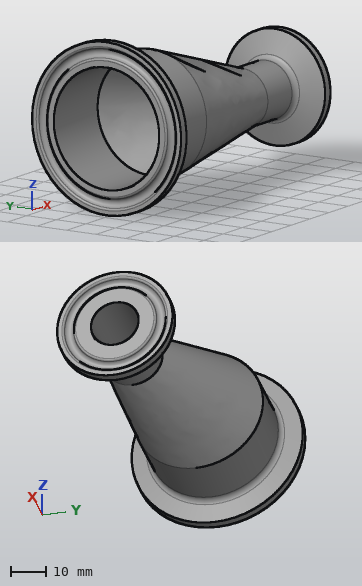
import cadquery as cq
import math

LENGTH = 75.0
LARGE_FLANGE_DIA = 50.5
LARGE_TUBE_DIA = 38.1
LARGE_BORE_DIA = 35.7
SMALL_FLANGE_DIA = 34.05
SMALL_TUBE_DIA = 17.3
SMALL_BORE_DIA = 14.0

CONE_START = 22.95
CONE_END = 55.05

RIM_WIDTH = 2.85
BACK_ANGLE = math.radians(20)
NECK_FILLET = 2.0

GROOVE_INSET = 3.45
GROOVE_HALF_WIDTH = 1.35
GROOVE_DEPTH = 1.6
LIP_WIDTH = 0.7
LIP_DROP = 0.45
LIP_RADIUS = (LIP_WIDTH**2 + LIP_DROP**2) / (2 * LIP_DROP)

SMALL_AXIS_Y = -(LARGE_TUBE_DIA - SMALL_TUBE_DIA) / 2


def revolve_about_x(profile):
    return profile.close().revolve(360, (0, 0, 0), (1, 0, 0))


def gasket_groove(centre_radius):
    """Rounded ring groove in the face at X = 0, with eased lips."""
    half_mouth = GROOVE_HALF_WIDTH + LIP_WIDTH
    inner_edge = centre_radius - GROOVE_HALF_WIDTH
    outer_edge = centre_radius + GROOVE_HALF_WIDTH
    profile = (
        cq.Workplane("XY")
        .moveTo(0, centre_radius - half_mouth)
        .radiusArc((LIP_DROP, inner_edge), LIP_RADIUS)
        .threePointArc((GROOVE_DEPTH, centre_radius), (LIP_DROP, outer_edge))
        .radiusArc((0, centre_radius + half_mouth), LIP_RADIUS)
    )
    return revolve_about_x(profile)


def ferrule(flange_dia, tube_dia, length):
    """Solid flange and tube from X = 0 to X = length, grooved on the X = 0 face."""
    flange_radius = flange_dia / 2
    tube_radius = tube_dia / 2
    fillet_top = tube_radius + NECK_FILLET * (1 - math.sin(BACK_ANGLE))
    back_end = RIM_WIDTH + (flange_radius - fillet_top) * math.tan(BACK_ANGLE)
    fillet_end = back_end + NECK_FILLET * math.cos(BACK_ANGLE)
    profile = (
        cq.Workplane("XY")
        .lineTo(0, flange_radius)
        .lineTo(RIM_WIDTH, flange_radius)
        .lineTo(back_end, fillet_top)
        .tangentArcPoint((fillet_end, tube_radius), relative=False)
        .lineTo(length, tube_radius)
        .lineTo(length, 0)
    )
    return revolve_about_x(profile).cut(gasket_groove(flange_radius - GROOVE_INSET))


def cylinder_along_x(diameter, start, end, axis_y):
    return (
        cq.Workplane("YZ", origin=(start, axis_y, 0))
        .circle(diameter / 2)
        .extrude(end - start)
    )


def eccentric_cone(large_dia, small_dia):
    """Straight-sided transition between the two offset tube circles."""
    return (
        cq.Workplane("YZ", origin=(CONE_START, 0, 0))
        .circle(large_dia / 2)
        .workplane(offset=CONE_END - CONE_START)
        .center(SMALL_AXIS_Y, 0)
        .circle(small_dia / 2)
        .loft(ruled=True)
    )


large_end = ferrule(LARGE_FLANGE_DIA, LARGE_TUBE_DIA, CONE_START)
small_end = (
    ferrule(SMALL_FLANGE_DIA, SMALL_TUBE_DIA, LENGTH - CONE_END)
    .mirror("YZ")
    .translate((LENGTH, SMALL_AXIS_Y, 0))
)
body = large_end.union(eccentric_cone(LARGE_TUBE_DIA, SMALL_TUBE_DIA)).union(small_end)

passage = (
    cylinder_along_x(LARGE_BORE_DIA, 0, CONE_START, 0)
    .union(eccentric_cone(LARGE_BORE_DIA, SMALL_BORE_DIA))
    .union(cylinder_along_x(SMALL_BORE_DIA, CONE_END, LENGTH, SMALL_AXIS_Y))
)

result = body.cut(passage)